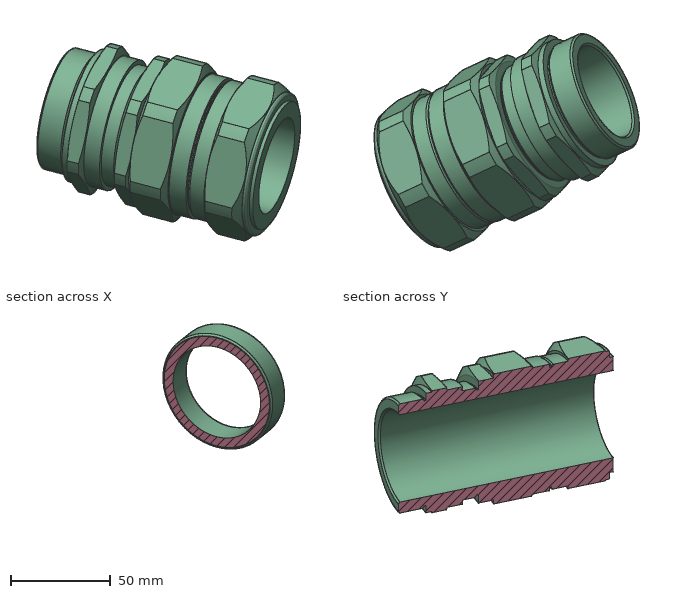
import cadquery as cq
import math

TOTAL_LENGTH = 117.3

BORE_RADIUS = 25.0
BORE_CHAMFER = 0.9

THREAD_RADIUS = 31.5
THREAD_CHAMFER = 0.9
THREAD_END = 14.2
UNDERCUT_RADIUS = 30.4

COLLAR_START = 15.1
COLLAR_RADIUS = 34.5
SLEEVE_RADIUS = 33.9
SLEEVE_END = 35.1

SECOND_THREAD_END = 43.0
SECOND_THREAD_CHAMFER = 1.3

THIN_FLATS = 70.3
THIN_CORNERS = 77.2
THIN_BEVEL_RADIUS = 34.5
THIN_BEVEL_LENGTH = 1.2
THIN_NUT_LENGTH = 8.5
LOCKNUT_START = 18.2
LOCKNUT_END = LOCKNUT_START + THIN_NUT_LENGTH
ENTRY_NUT_START = 43.6

THICK_FLATS = 75.0
THICK_CORNERS = 82.6
STEEP_BEVEL_ANGLE = 60.0
BACK_BEVEL_ANGLE = 45.0
MIDDLE_NUT_START = 52.0
MIDDLE_NUT_END = 73.1
MIDDLE_BEVEL_LENGTH = 2.5
BACK_NUT_START = 92.5
BACK_NUT_END = 113.1
BACK_NUT_FRONT_BEVEL = 2.2
BACK_NUT_REAR_BEVEL = 4.0

SHOULDER_RADIUS = 36.7
SHOULDER_END = 73.5
BAND_RADIUS = 36.5
BAND_END = 82.6
GROOVE_RADIUS = 34.6
GROOVE_END = 83.5
NECK_RADIUS = 36.0
NECK_CHAMFER_LENGTH = 0.9
NECK_CHAMFER_DEPTH = 0.5
RIM_RADIUS = 37.1
RIM_END = 115.4
RIM_ROUND = 1.0
SEAL_RADIUS = 33.2


def ring(start, end, radius):
    """Solid cylinder on the X axis."""
    return cq.Workplane("YZ", origin=(start, 0, 0)).circle(radius).extrude(end - start)


def turned(points):
    """Solid of revolution about X from (x, radius) points; the ends close on the axis."""
    outline = [(points[0][0], 0), *points, (points[-1][0], 0)]
    return cq.Workplane("XY").polyline(outline).close().revolve(360, (0, 0, 0), (1, 0, 0))


def hex_nut(start, end, flats, corners, front_bevel, rear_bevel):
    """Hexagon with flats facing +/-Z, trimmed by a turned envelope.

    Each bevel is (length along X, radius at the end face).
    """
    front_length, front_radius = front_bevel
    rear_length, rear_radius = rear_bevel
    point_diameter = flats / math.cos(math.radians(30))
    prism = cq.Workplane("YZ", origin=(start, 0, 0)).polygon(6, point_diameter).extrude(end - start)
    envelope = turned([
        (start, front_radius),
        (start + front_length, corners / 2),
        (end - rear_length, corners / 2),
        (end, rear_radius),
    ])
    return prism.intersect(envelope)


def thick_bevel(length, angle):
    """Bevel of a thick nut, sloping at the given angle to the X axis."""
    return length, THICK_CORNERS / 2 - length * math.tan(math.radians(angle))


def entry_thread():
    thread = ring(0, THREAD_END, THREAD_RADIUS).edges().chamfer(THREAD_CHAMFER)
    return thread.union(ring(THREAD_END, COLLAR_START, UNDERCUT_RADIUS))


def second_thread():
    thread = ring(SLEEVE_END, SECOND_THREAD_END, THREAD_RADIUS)
    thread = thread.faces(">X").edges().chamfer(SECOND_THREAD_CHAMFER)
    relief_radius = THREAD_RADIUS - SECOND_THREAD_CHAMFER
    return thread.union(ring(SECOND_THREAD_END, ENTRY_NUT_START, relief_radius))


def neck():
    return turned([
        (GROOVE_END, NECK_RADIUS - NECK_CHAMFER_DEPTH),
        (GROOVE_END + NECK_CHAMFER_LENGTH, NECK_RADIUS),
        (BACK_NUT_START, NECK_RADIUS),
    ])


def thin_nuts():
    bevel = (THIN_BEVEL_LENGTH, THIN_BEVEL_RADIUS)
    return [
        hex_nut(start, start + THIN_NUT_LENGTH, THIN_FLATS, THIN_CORNERS, bevel, bevel)
        for start in (LOCKNUT_START, ENTRY_NUT_START)
    ]


def thick_nuts():
    middle_bevel = thick_bevel(MIDDLE_BEVEL_LENGTH, STEEP_BEVEL_ANGLE)
    front_bevel = thick_bevel(BACK_NUT_FRONT_BEVEL, STEEP_BEVEL_ANGLE)
    rear_bevel = thick_bevel(BACK_NUT_REAR_BEVEL, BACK_BEVEL_ANGLE)
    return [
        hex_nut(MIDDLE_NUT_START, MIDDLE_NUT_END, THICK_FLATS, THICK_CORNERS, middle_bevel, middle_bevel),
        hex_nut(BACK_NUT_START, BACK_NUT_END, THICK_FLATS, THICK_CORNERS, front_bevel, rear_bevel),
    ]


def bored(body):
    bore = ring(0, TOTAL_LENGTH, BORE_RADIUS)
    countersink = turned([(0, BORE_RADIUS + BORE_CHAMFER), (BORE_CHAMFER, BORE_RADIUS)])
    return body.cut(bore).cut(countersink)


sections = [
    entry_thread(),
    ring(COLLAR_START, LOCKNUT_START, COLLAR_RADIUS),
    ring(LOCKNUT_END, SLEEVE_END, SLEEVE_RADIUS),
    second_thread(),
    *thin_nuts(),
    *thick_nuts(),
    ring(MIDDLE_NUT_END, SHOULDER_END, SHOULDER_RADIUS),
    ring(SHOULDER_END, BAND_END, BAND_RADIUS),
    ring(BAND_END, GROOVE_END, GROOVE_RADIUS),
    neck(),
    ring(BACK_NUT_END, RIM_END, RIM_RADIUS).faces(">X").edges().fillet(RIM_ROUND),
    ring(RIM_END, TOTAL_LENGTH, SEAL_RADIUS),
]
body = sections[0]
for section in sections[1:]:
    body = body.union(section)
result = bored(body)